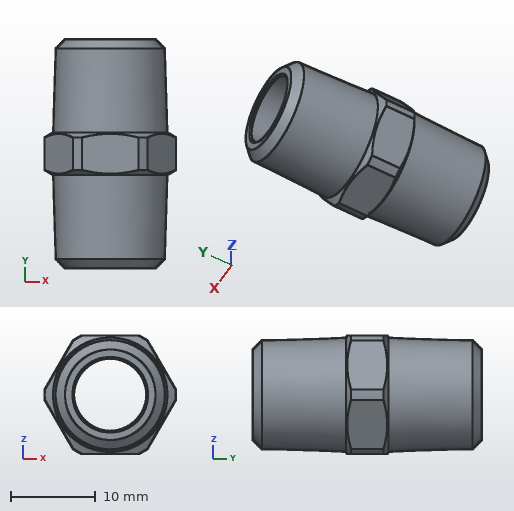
import cadquery as cq
import math

total_length = 27.0
hex_sides = 6
hex_length = 5.0
hex_across_flats = 14.0
hex_corner_diameter = 15.5
hex_chamfer_angle = 30.0

end_diameter = 12.8
taper_ratio = 1 / 16
end_chamfer = 1.1

bore_diameter = 8.5
bore_chamfer = 0.2

half_length = total_length / 2
half_hex = hex_length / 2
corner_radius = hex_corner_diameter / 2
bore_radius = bore_diameter / 2


def taper_radius(distance_from_end):
    """Radius of the tapered barrel at a distance from its end face."""
    return (end_diameter + taper_ratio * distance_from_end) / 2


def revolve_about_y(points):
    """Solid of revolution from a closed (radius, y) outline."""
    return cq.Workplane("XY").polyline(points).close().revolve(360, (0, 0, 0), (0, 1, 0))


def make_barrel():
    """Two tapered ends, widest at the hexagon, with chamfered tips."""
    hex_face_radius = taper_radius(half_length - half_hex)
    shoulder_radius = taper_radius(end_chamfer)
    tip_radius = shoulder_radius - end_chamfer
    shoulder_y = half_length - end_chamfer
    return revolve_about_y([
        (0, -half_length),
        (tip_radius, -half_length),
        (shoulder_radius, -shoulder_y),
        (hex_face_radius, -half_hex),
        (hex_face_radius, half_hex),
        (shoulder_radius, shoulder_y),
        (tip_radius, half_length),
        (0, half_length),
    ])


def make_hexagon():
    """Hexagon with flats at top and bottom, its corners turned round and chamfered."""
    across_sharp_corners = hex_across_flats / math.cos(math.pi / hex_sides)
    hex_prism = (
        cq.Workplane("XZ")
        .polygon(hex_sides, across_sharp_corners)
        .extrude(half_hex, both=True)
    )
    face_radius = taper_radius(half_length - half_hex)
    chamfer_height = (corner_radius - face_radius) * math.tan(math.radians(hex_chamfer_angle))
    rim_y = half_hex - chamfer_height
    turned_envelope = revolve_about_y([
        (0, -half_hex),
        (face_radius, -half_hex),
        (corner_radius, -rim_y),
        (corner_radius, rim_y),
        (face_radius, half_hex),
        (0, half_hex),
    ])
    return hex_prism.intersect(turned_envelope)


def make_bore():
    """Through bore with a small chamfer at each mouth."""
    mouth_radius = bore_radius + bore_chamfer
    chamfer_y = half_length - bore_chamfer
    return revolve_about_y([
        (0, -half_length),
        (mouth_radius, -half_length),
        (bore_radius, -chamfer_y),
        (bore_radius, chamfer_y),
        (mouth_radius, half_length),
        (0, half_length),
    ])


result = make_barrel().union(make_hexagon()).cut(make_bore())